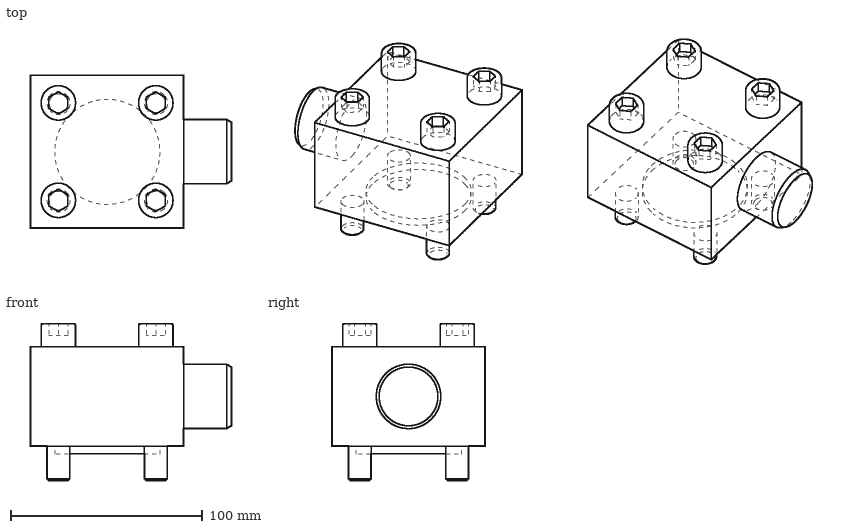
import cadquery as cq
import math

block_side = 80.0
block_height = 52.0

screw_circle_diameter = 72.0
screw_spacing = screw_circle_diameter / math.sqrt(2)
shank_diameter = 12.0
shank_projection = 18.0
shank_chamfer = 1.1
head_diameter = 18.0
head_height = 12.0
head_edge_radius = 1.0
socket_across_flats = 10.0
socket_depth = 6.0

stub_diameter = 33.7
stub_length = 25.0
bevel_angle = 30.0
bevel_depth = 1.5
bevel_length = bevel_depth / math.tan(math.radians(bevel_angle))

spigot_diameter = 55.0
spigot_height = 4.0


def make_block():
    """Square block with the round spigot on its underside."""
    block = cq.Workplane("XY").box(block_side, block_side, block_height, centered=(True, True, False))
    spigot = cq.Workplane("XY").circle(spigot_diameter / 2).extrude(-spigot_height)
    return block.union(spigot)


def make_stub():
    """Pipe stub along +X with a weld bevel at its free end."""
    return (
        cq.Workplane("YZ", origin=(block_side / 2, 0, block_height / 2))
        .circle(stub_diameter / 2)
        .extrude(stub_length)
        .faces(">X")
        .chamfer(bevel_length, bevel_depth)
    )


def make_screw():
    """Cap screw on the Z axis: head above the block, shank through and below it."""
    head = (
        cq.Workplane("XY", origin=(0, 0, block_height))
        .circle(head_diameter / 2)
        .extrude(head_height)
        .faces(">Z")
        .fillet(head_edge_radius)
    )
    shank = (
        cq.Workplane("XY", origin=(0, 0, -shank_projection))
        .circle(shank_diameter / 2)
        .extrude(shank_projection + block_height)
        .faces("<Z")
        .chamfer(shank_chamfer)
    )
    socket_across_corners = socket_across_flats / math.cos(math.pi / 6)
    socket = (
        cq.Workplane("XY", origin=(0, 0, block_height + head_height))
        .transformed(rotate=(0, 0, 90))
        .polygon(6, socket_across_corners)
        .extrude(-socket_depth)
    )
    return head.union(shank).cut(socket)


result = make_block().union(make_stub())
screw = make_screw()
for x_sign in (-1, 1):
    for y_sign in (-1, 1):
        position = (x_sign * screw_spacing / 2, y_sign * screw_spacing / 2, 0)
        result = result.union(screw.translate(position))